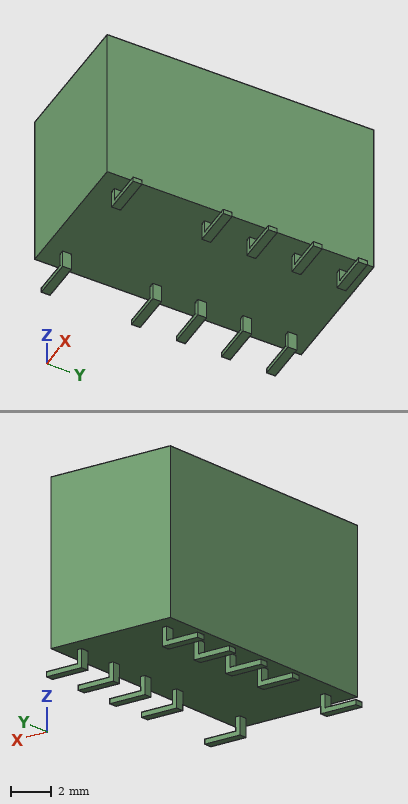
import cadquery as cq

body_width = 7.5
body_length = 15.0
body_height = 9.0
standoff = 1.0

lead_span = 9.5
lead_inner_gap = 5.07
lead_thickness = 0.27
lead_width = 0.5
lead_pitch = 2.54
lead_places = (-2.5, -0.5, 0.5, 1.5, 2.5)


def make_lead(y_centre):
    """Lead on the +X side, with its width centred on y_centre."""
    inner = lead_inner_gap / 2
    leg_outer = inner + lead_thickness
    tip = lead_span / 2
    profile = [
        (inner, 0),
        (tip, 0),
        (tip, lead_thickness),
        (leg_outer, lead_thickness),
        (leg_outer, standoff),
        (inner, standoff),
    ]
    return (
        cq.Workplane("XZ", origin=(0, y_centre, 0))
        .polyline(profile)
        .close()
        .extrude(lead_width / 2, both=True)
    )


result = (
    cq.Workplane("XY", origin=(0, 0, standoff))
    .box(body_width, body_length, body_height, centered=(True, True, False))
)

for place in lead_places:
    lead = make_lead(place * lead_pitch)
    result = result.union(lead).union(lead.mirror("YZ"))